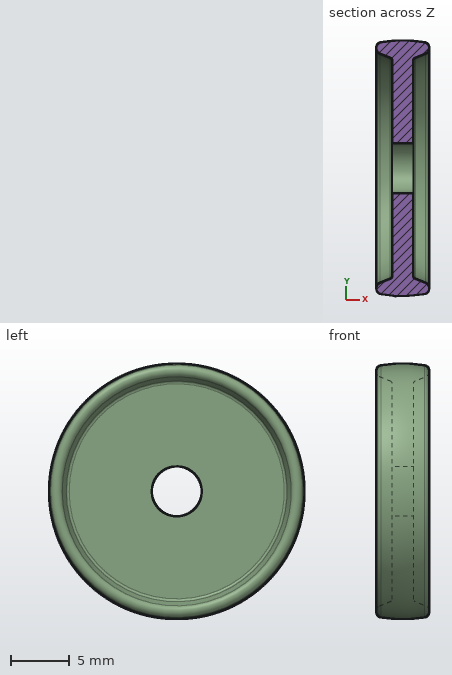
import cadquery as cq
import math

outer_radius = 10.85
width = 4.5
web_thickness = 1.8
bore_diameter = 4.2
wall_draft = math.radians(22.0)
rim_round = 0.52
floor_fillet = 0.25

half_width = width / 2
half_web = web_thickness / 2
bore_radius = bore_diameter / 2

round_x = half_width - rim_round
round_r = math.sqrt((outer_radius - rim_round) ** 2 - round_x**2)

tread_angle = math.atan2(round_x, round_r)
tread_end = (outer_radius * math.sin(tread_angle), outer_radius * math.cos(tread_angle))
rim_tip = (half_width, round_r)
wall_top = (
    round_x + rim_round * math.sin(wall_draft),
    round_r - rim_round * math.cos(wall_draft),
)
wall_foot = (half_web, wall_top[1] - (wall_top[0] - half_web) * math.tan(wall_draft))
bore_edge = (half_web, bore_radius)


def mirrored(point):
    """The same point on the -X side of the wheel."""
    return (-point[0], point[1])


wheel = (
    cq.Workplane("XY")
    .moveTo(*mirrored(bore_edge))
    .lineTo(*mirrored(wall_foot))
    .lineTo(*mirrored(wall_top))
    .threePointArc(mirrored(rim_tip), mirrored(tread_end))
    .threePointArc((0, outer_radius), tread_end)
    .threePointArc(rim_tip, wall_top)
    .lineTo(*wall_foot)
    .lineTo(*bore_edge)
    .close()
    .revolve(360, (0, 0, 0), (1, 0, 0))
)

for side in (-1, 1):
    web_face = wheel.faces(cq.selectors.NearestToPointSelector((side * half_web, 0, 0)))
    outer_edge = web_face.edges(cq.selectors.RadiusNthSelector(-1))
    wheel = outer_edge.fillet(floor_fillet)

result = wheel